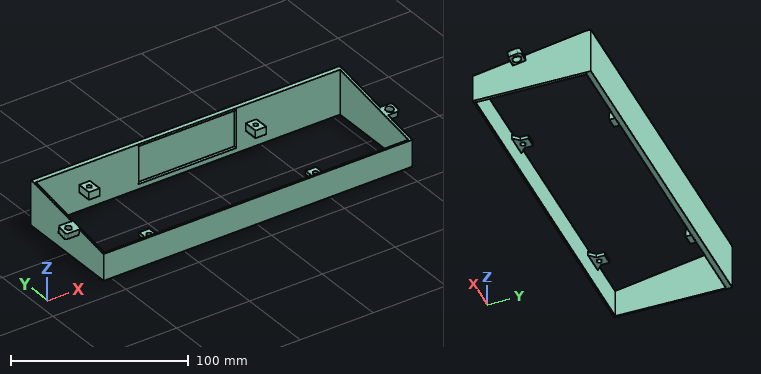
import cadquery as cq
import math

overall_length = 229.0
depth = 72.0
height = 30.0
slope_angle = 10.0
left_overhang = 9.2
right_overhang = 8.0
left_wall = 1.1
right_wall = 1.95
back_wall = 3.5
front_wall = 1.1

recess_length = 66.9
recess_height = 25.2
recess_top_gap = 1.4
recess_depth = 2.0

ear_width = 8.0
ear_thickness = 4.1
ear_y = -8.2
ear_hole_inset = 4.4
left_hole_diameter = 4.0
right_hole_diameter = 5.0
left_corner_radius = 1.4
right_corner_radius = 1.8

bracket_centers_x = (-70.8, 43.5)
bracket_width = 7.3
bracket_hole_diameter = 3.0
wall_overlap = 0.7
back_bracket_top = 17.6
front_bracket_top = 16.3
back_bracket_length = 9.6
back_bracket_thickness = 5.0
back_hole_offset = 4.5
front_bracket_length = 8.7
front_bracket_thickness = 2.5
front_hole_offset = 4.0
flare = 3.7

left_end = -overall_length / 2
right_end = overall_length / 2
left_face = left_end + left_overhang
right_face = right_end - right_overhang
back_face = depth / 2
front_face = -depth / 2
back_inner = back_face - back_wall
front_inner = front_face + front_wall
slope = math.tan(math.radians(slope_angle))


def slope_z(y):
    """Height of the sloped rim at depth position y."""
    return height - (back_inner - y) * slope


def tilted_plane(y):
    """Plane lying on the sloped rim, with its origin at x = 0."""
    tilt = math.radians(slope_angle)
    normal = (0, -math.sin(tilt), math.cos(tilt))
    return cq.Plane(origin=(0, y, slope_z(y)), xDir=(1, 0, 0), normal=normal)


def make_frame():
    side = [
        (front_face, 0),
        (back_face, 0),
        (back_face, height),
        (back_inner, height),
        (front_face, slope_z(front_face)),
    ]
    body = cq.Workplane("YZ", origin=(left_face, 0, 0)).polyline(side).close()
    body = body.extrude(right_face - left_face)
    opening = cq.Workplane("XY").box(
        right_face - left_face - left_wall - right_wall,
        back_inner - front_inner,
        height,
        centered=False,
    )
    return body.cut(opening.translate((left_face + left_wall, front_inner, 0)))


def make_recess():
    recess = cq.Workplane("XY").box(
        recess_length, recess_depth, recess_height, centered=(True, False, False)
    )
    return recess.translate((0, back_inner, height - recess_top_gap - recess_height))


def make_ear(tip, root, corner_radius, hole_diameter):
    """Tilted ear flush with the rim, from the inner wall face at root out to its tip."""
    outward = math.copysign(1, tip)
    half = ear_width / 2
    shoulder = tip - outward * corner_radius
    bend = corner_radius * (1 - math.sqrt(0.5))
    plane = tilted_plane(ear_y)
    ear = (
        cq.Workplane(plane)
        .moveTo(root, -half)
        .lineTo(shoulder, -half)
        .threePointArc((tip - outward * bend, bend - half), (tip, corner_radius - half))
        .lineTo(tip, half - corner_radius)
        .threePointArc((tip - outward * bend, half - bend), (shoulder, half))
        .lineTo(root, half)
        .close()
        .extrude(-ear_thickness)
    )
    hole = (
        cq.Workplane(plane)
        .center(tip - outward * ear_hole_inset, 0)
        .circle(hole_diameter / 2)
        .extrude(-ear_thickness)
    )
    return ear.cut(hole)


def make_bracket(x, wall_y, inward, top, outline, thickness, hole_offset):
    """Level bracket; outline points are (sideways, distance from the wall)."""
    plane = cq.Plane(origin=(0, wall_y, top))
    points = [(x + side, inward * reach) for side, reach in outline]
    bracket = cq.Workplane(plane).polyline(points).close().extrude(-thickness)
    hole = (
        cq.Workplane(plane)
        .center(x, inward * hole_offset)
        .circle(bracket_hole_diameter / 2)
        .extrude(-thickness)
    )
    return bracket.cut(hole)


half_bracket = bracket_width / 2
back_outline = [
    (-half_bracket, -wall_overlap),
    (half_bracket, -wall_overlap),
    (half_bracket, back_bracket_length),
    (-half_bracket, back_bracket_length),
]
front_outline = [
    (-half_bracket - flare, -wall_overlap),
    (half_bracket + flare, -wall_overlap),
    (half_bracket + flare, 0),
    (half_bracket, flare),
    (half_bracket, front_bracket_length),
    (-half_bracket, front_bracket_length),
    (-half_bracket, flare),
    (-half_bracket - flare, 0),
]

result = make_frame().cut(make_recess())
result = result.union(make_ear(left_end, left_face + left_wall, left_corner_radius, left_hole_diameter))
result = result.union(make_ear(right_end, right_face - right_wall, right_corner_radius, right_hole_diameter))
for center_x in bracket_centers_x:
    back_bracket = make_bracket(
        center_x,
        back_inner,
        -1,
        back_bracket_top,
        back_outline,
        back_bracket_thickness,
        back_hole_offset,
    )
    front_bracket = make_bracket(
        center_x,
        front_inner,
        1,
        front_bracket_top,
        front_outline,
        front_bracket_thickness,
        front_hole_offset,
    )
    result = result.union(back_bracket).union(front_bracket)